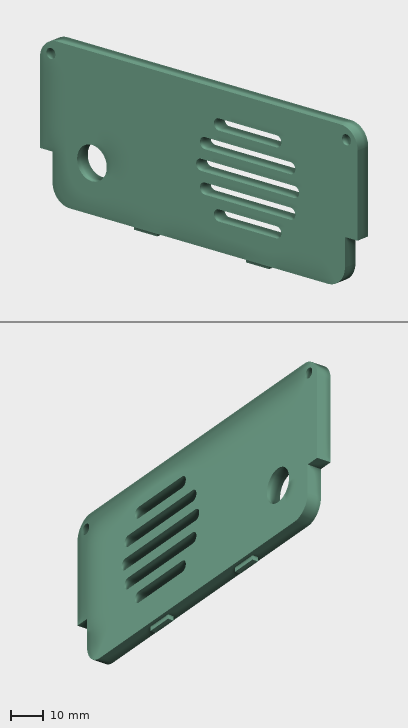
import cadquery as cq

width = 129.5
thickness = 5.0
total_height = 55.4
tab_height = 1.5
plate_height = total_height - tab_height
corner_radius = 7.0

step_width = 5.2
step_height = 17.1

screw_hole_diameter = 3.6
screw_hole_inset = 4.5

opening_diameter = 12.0
opening_x = -43.5
opening_z = step_height

slot_height = 4.0
slot_pitch = 7.5
slot_lengths = [42.0, 38.8, 27.5]
grille_x = 20.0
grille_z = 27.1

tab_length = 9.5
tab_thickness = 2.1
tab_centers_x = [-22.9, 22.7]
tab_overlap = 1.3


def make_plate():
    """Rounded plate standing on Z = 0, with its front face at Y = 0."""
    half_width = width / 2
    half_base = half_width - step_width
    outline = [
        (-half_base, 0),
        (half_base, 0),
        (half_base, step_height),
        (half_width, step_height),
        (half_width, plate_height),
        (-half_width, plate_height),
        (-half_width, step_height),
        (-half_base, step_height),
    ]
    plate = cq.Workplane("XZ").polyline(outline).close().extrude(-thickness)
    return plate.edges("|Y and (<Z or >Z)").fillet(corner_radius)


def cut_round_holes(plate):
    screw_x = width / 2 - screw_hole_inset
    screw_z = plate_height - screw_hole_inset
    screw_holes = (
        cq.Workplane("XZ")
        .pushPoints([(-screw_x, screw_z), (screw_x, screw_z)])
        .circle(screw_hole_diameter / 2)
        .extrude(-thickness)
    )
    opening = (
        cq.Workplane("XZ")
        .center(opening_x, opening_z)
        .circle(opening_diameter / 2)
        .extrude(-thickness)
    )
    return plate.cut(screw_holes).cut(opening)


def cut_grille(plate):
    last_row = len(slot_lengths) - 1
    for row in range(-last_row, last_row + 1):
        slot = (
            cq.Workplane("XZ")
            .center(grille_x, grille_z + row * slot_pitch)
            .slot2D(slot_lengths[abs(row)], slot_height)
            .extrude(-thickness)
        )
        plate = plate.cut(slot)
    return plate


def add_tabs(plate):
    """Add tabs centred in the thickness, overlapping the plate for a solid joint."""
    for tab_x in tab_centers_x:
        tab = (
            cq.Workplane("XY", origin=(tab_x, thickness / 2, -tab_height))
            .rect(tab_length, tab_thickness)
            .extrude(tab_height + tab_overlap)
        )
        plate = plate.union(tab)
    return plate


result = add_tabs(cut_grille(cut_round_holes(make_plate())))